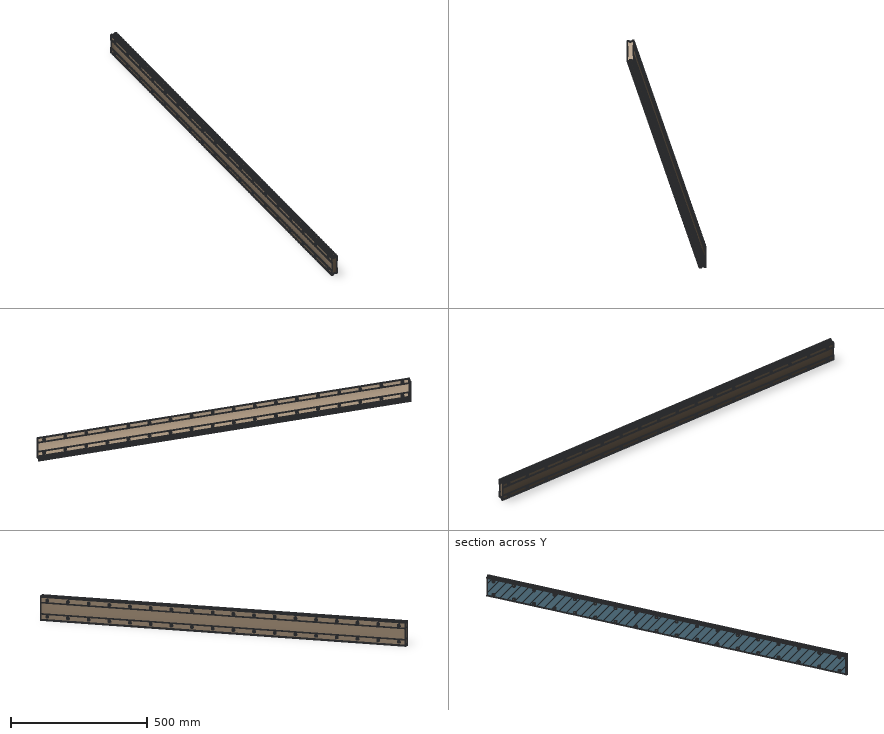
import cadquery as cq
import math

length = 1410
thickness = 24.0
height = 90.0

slot_depth = 5.0
floor_front_y = -5.0
floor_back_y = 2.0
front_wall_angle = 60
back_wall_angle = 45

front_chamfer = 1.0
back_chamfer = 3.0

band_height = 42.0
band_depth = 1.0

hole_count = 18
end_margin = 25.0
hole_pitch = (length - 2 * end_margin) / (hole_count - 1)
hole_diameter = 8.0
row_spacing = 60.0


def wall_run(angle):
    """Horizontal width of a slot wall that rises at the given angle in degrees."""
    return slot_depth / math.tan(math.radians(angle))


def make_rail():
    """Extrude the cross-section, which is mirrored about mid-height, along X."""
    front_y = -thickness / 2
    back_y = thickness / 2
    top_z = height / 2
    floor_z = top_z - slot_depth
    band_z = band_height / 2
    upper_half = [
        (front_y + band_depth, 0),
        (front_y + band_depth, band_z),
        (front_y, band_z),
        (front_y, top_z - front_chamfer),
        (front_y + front_chamfer, top_z),
        (floor_front_y - wall_run(front_wall_angle), top_z),
        (floor_front_y, floor_z),
        (floor_back_y, floor_z),
        (floor_back_y + wall_run(back_wall_angle), top_z),
        (back_y - back_chamfer, top_z),
        (back_y, top_z - back_chamfer),
        (back_y, band_z),
        (back_y - band_depth, band_z),
        (back_y - band_depth, 0),
    ]
    return (
        cq.Workplane("YZ", origin=(-length / 2, 0, 0))
        .polyline(upper_half)
        .mirrorX()
        .extrude(length)
    )


def make_holes():
    """Cylinders through the full thickness, in a row above and a row below mid-height."""
    return (
        cq.Workplane("XZ", origin=(0, thickness / 2, 0))
        .rarray(hole_pitch, row_spacing, hole_count, 2)
        .circle(hole_diameter / 2)
        .extrude(thickness)
    )


result = make_rail().cut(make_holes())